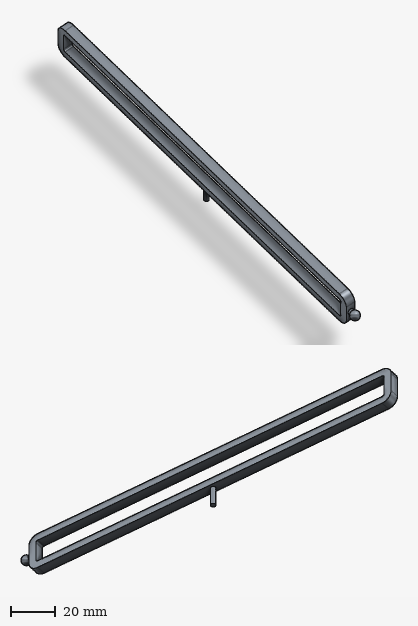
import cadquery as cq

overall_length = 205.5

frame_length = 200.0
frame_height = 20.0
frame_depth = 5.0
bar_width = 4.0
outer_corner_radius = 5.0
inner_corner_radius = 1.0

ball_radius = frame_depth / 2
neck_diameter = 3.0

pin_diameter = 2.5
pin_length = 10.0

frame_end = frame_length / 2
ball_center = overall_length - frame_end - ball_radius


def rounded_block(length, height, corner_radius):
    """Block centred on the origin, with its four corners rounded along Y."""
    return (
        cq.Workplane("XZ")
        .rect(length, height)
        .extrude(frame_depth / 2, both=True)
        .edges("|Y")
        .fillet(corner_radius)
    )


def make_frame():
    window_length = frame_length - 2 * bar_width
    window_height = frame_height - 2 * bar_width
    outside = rounded_block(frame_length, frame_height, outer_corner_radius)
    window = rounded_block(window_length, window_height, inner_corner_radius)
    return outside.cut(window)


def make_ball_with_neck():
    ball = cq.Workplane("XY").sphere(ball_radius).translate((ball_center, 0, 0))
    neck = (
        cq.Workplane("YZ", origin=(frame_end, 0, 0))
        .circle(neck_diameter / 2)
        .extrude(ball_center - frame_end)
    )
    return ball.union(neck)


def make_pin():
    return (
        cq.Workplane("XY", origin=(0, 0, -frame_height / 2))
        .circle(pin_diameter / 2)
        .extrude(-pin_length)
    )


result = make_frame().union(make_ball_with_neck()).union(make_pin())